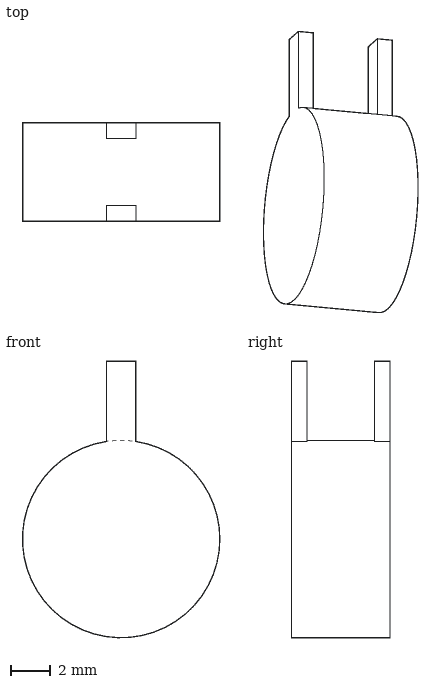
import cadquery as cq

disc_diameter = 10.0
disc_thickness = 5.0

terminal_width = 1.5
terminal_thickness = 0.8
terminal_length = 4.0

disc_radius = disc_diameter / 2
terminal_top = disc_radius + terminal_length
terminal_offset = (disc_thickness - terminal_thickness) / 2


def make_disc():
    """Solid disc, half its thickness on each side of the XZ plane."""
    return cq.Workplane("XZ").circle(disc_radius).extrude(disc_thickness / 2, both=True)


def make_terminal(y_centre):
    """Rectangular bar running from the disc axis up to the terminal tip."""
    return (
        cq.Workplane("XY")
        .center(0, y_centre)
        .rect(terminal_width, terminal_thickness)
        .extrude(terminal_top)
    )


result = make_disc()
for side in (-1, 1):
    result = result.union(make_terminal(side * terminal_offset))
result = result.clean()